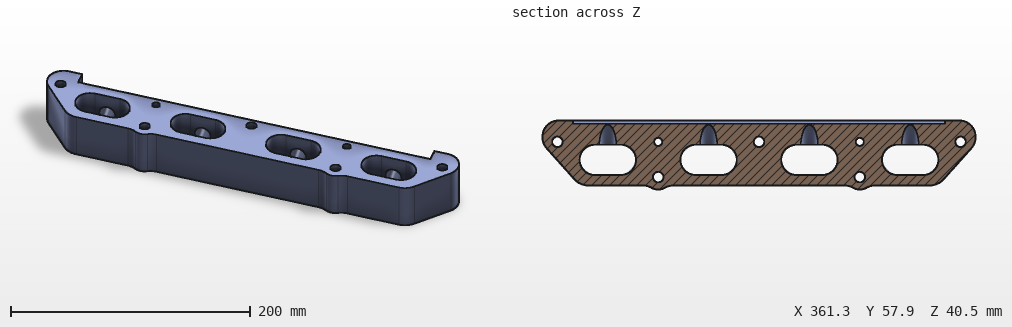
import cadquery as cq
import math


length = 361.26
width = 57.85
thickness = 40.51

lobe_radius = 14.0
corner_radius = 16.0
corner_center_x = 142.0
front_edge_y = -54.5
boss_radius = 10.5
boss_blend_radius = 15.0

pitch = 84.0
port_count = 4
port_length = 46.8
port_width = 25.0
port_center_y = -33.0

bolt_diameter = 8.6
small_bolt_diameter = 6.6
back_row_y = -18.0
front_row_y = -width + boss_radius

ledge_length = 310.0
ledge_depth = 11.0
ledge_angle = 67.5
injector_diameter = 14.0

ledge_drop = ledge_depth * math.tan(math.radians(ledge_angle))
port_xs = [(index - (port_count - 1) / 2) * pitch for index in range(port_count)]


def on_circle(center, radius, angle):
    """Point on a circle at an angle in radians from +X."""
    return (center[0] + radius * math.cos(angle), center[1] + radius * math.sin(angle))


def half_plate():
    """Left half of the plate, outlined anticlockwise from the middle of the back edge."""
    lobe_center = (-length / 2 + lobe_radius, -lobe_radius)
    corner_center = (-corner_center_x, front_edge_y + corner_radius)
    boss_center = (-pitch, front_row_y)

    run_x = corner_center[0] - lobe_center[0]
    run_y = corner_center[1] - lobe_center[1]
    center_line = math.atan2(run_y, run_x)
    spread = math.asin((corner_radius - lobe_radius) / math.hypot(run_x, run_y))
    side_normal = center_line - math.pi / 2 - spread

    blend_center_y = front_edge_y - boss_blend_radius
    blend_rise = front_row_y - blend_center_y
    blend_offset = math.sqrt((boss_radius + boss_blend_radius) ** 2 - blend_rise**2)
    touch_angle = math.atan2(blend_rise, blend_offset)
    left_blend = (-pitch - blend_offset, blend_center_y)
    right_blend = (-pitch + blend_offset, blend_center_y)
    left_mid_angle = (math.pi / 2 + touch_angle) / 2
    straight_up = math.pi / 2
    straight_down = -math.pi / 2

    return (
        cq.Workplane("XY")
        .moveTo(0, 0)
        .lineTo(lobe_center[0], 0)
        .threePointArc(
            on_circle(lobe_center, lobe_radius, math.pi),
            on_circle(lobe_center, lobe_radius, side_normal),
        )
        .lineTo(*on_circle(corner_center, corner_radius, side_normal))
        .threePointArc(
            on_circle(corner_center, corner_radius, (side_normal + straight_down) / 2),
            on_circle(corner_center, corner_radius, straight_down),
        )
        .lineTo(left_blend[0], front_edge_y)
        .threePointArc(
            on_circle(left_blend, boss_blend_radius, left_mid_angle),
            on_circle(left_blend, boss_blend_radius, touch_angle),
        )
        .threePointArc(
            on_circle(boss_center, boss_radius, straight_down),
            on_circle(boss_center, boss_radius, -touch_angle),
        )
        .threePointArc(
            on_circle(right_blend, boss_blend_radius, math.pi - left_mid_angle),
            on_circle(right_blend, boss_blend_radius, straight_up),
        )
        .lineTo(0, front_edge_y)
        .close()
        .extrude(thickness)
    )


def plate():
    left = half_plate()
    return left.union(left.mirror("YZ")).clean()


def ledge_cut():
    """Wedge removed from the top back edge between the two end lobes."""
    return (
        cq.Workplane("YZ")
        .moveTo(0, thickness)
        .lineTo(-ledge_depth, thickness)
        .lineTo(0, thickness - ledge_drop)
        .close()
        .extrude(ledge_length / 2, both=True)
    )


def through_holes(points, diameter):
    return cq.Workplane("XY").pushPoints(points).circle(diameter / 2).extrude(thickness)


def ports():
    centers = [(x, port_center_y) for x in port_xs]
    return cq.Workplane("XY").pushPoints(centers).slot2D(port_length, port_width).extrude(thickness)


def injector_hole(x):
    """Hole square to the ledge, from the middle of its slope to the centre plane of a port."""
    tilt = math.radians(ledge_angle)
    inward = cq.Vector(0, -math.sin(tilt), -math.cos(tilt))
    ledge_middle = cq.Vector(x, -ledge_depth / 2, thickness - ledge_drop / 2)
    start = ledge_middle - inward * injector_diameter
    reach = (start.y - port_center_y) / math.sin(tilt)
    return cq.Solid.makeCylinder(injector_diameter / 2, reach, start, inward)


back_bolts = [(-2 * pitch, back_row_y), (0, back_row_y), (2 * pitch, back_row_y)]
small_bolts = [(-pitch, back_row_y), (pitch, back_row_y)]
front_bolts = [(-pitch, front_row_y), (pitch, front_row_y)]

result = (
    plate()
    .cut(ledge_cut())
    .cut(through_holes(back_bolts + front_bolts, bolt_diameter))
    .cut(through_holes(small_bolts, small_bolt_diameter))
    .cut(ports())
)
for port_x in port_xs:
    result = result.cut(injector_hole(port_x))